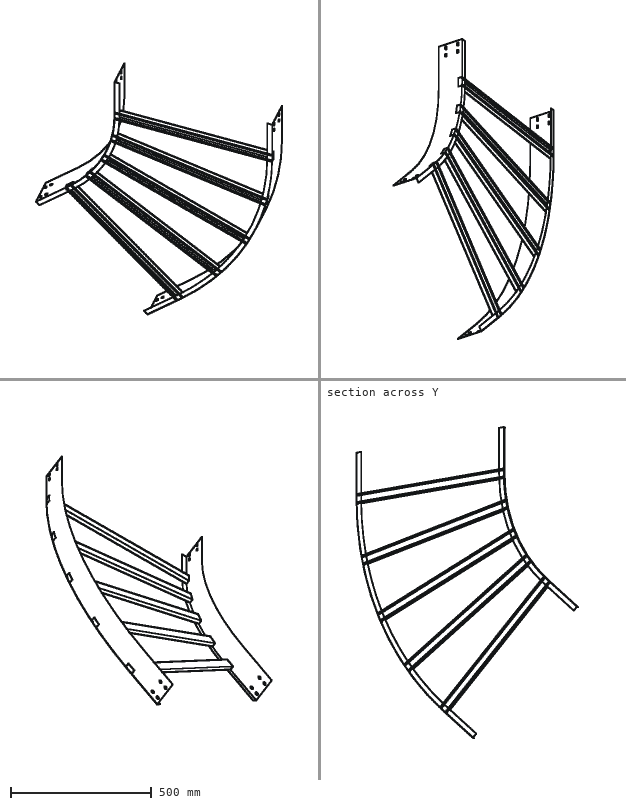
import cadquery as cq
import math

BEND_ANGLE = 45.0
INNER_RADIUS = 600.0
LADDER_WIDTH = 600.0
OUTER_RADIUS = INNER_RADIUS + LADDER_WIDTH
LEG_LENGTH = 173.0

RAIL_HEIGHT = 100.0
RAIL_THICKNESS = 1.5
FLANGE_WIDTH = 19.5

RUNG_COUNT = 5
RUNG_PITCH = BEND_ANGLE / (RUNG_COUNT - 1)
RUNG_WIDTH = 37.0
RUNG_DEPTH = 17.0
RUNG_THICKNESS = 1.5
RUNG_LIP = 7.0
RUNG_INSET = RAIL_THICKNESS / 2

SLOT_LENGTH = 12.0
SLOT_WIDTH = 7.0
SLOT_END_DISTANCES = (15.0, 45.0)
SLOT_HEIGHTS = (19.5, 69.5)


def bend_point(radius, angle, beyond=0.0):
    """Point (x, z) on the bend, moved on along the tangent by `beyond`."""
    turn = math.radians(angle)
    x = radius * math.cos(turn) - beyond * math.sin(turn)
    z = -radius * math.sin(turn) - beyond * math.cos(turn)
    return x, z


def bent_strip(low_radius, high_radius, height):
    """Strip between two radii with a straight leg at each end, rising from y = 0."""
    middle = BEND_ANGLE / 2
    return (
        cq.Workplane("XZ")
        .moveTo(*bend_point(low_radius, 0, -LEG_LENGTH))
        .lineTo(*bend_point(low_radius, 0))
        .threePointArc(bend_point(low_radius, middle), bend_point(low_radius, BEND_ANGLE))
        .lineTo(*bend_point(low_radius, BEND_ANGLE, LEG_LENGTH))
        .lineTo(*bend_point(high_radius, BEND_ANGLE, LEG_LENGTH))
        .lineTo(*bend_point(high_radius, BEND_ANGLE))
        .threePointArc(bend_point(high_radius, middle), bend_point(high_radius, 0))
        .lineTo(*bend_point(high_radius, 0, -LEG_LENGTH))
        .close()
        .extrude(-height)
    )


def rail(web_radius, inward):
    """L-section rail; `inward` is +1 or -1, the radial direction into the ladder."""
    web_radii = sorted((web_radius, web_radius + inward * RAIL_THICKNESS))
    flange_radii = sorted((web_radius, web_radius + inward * FLANGE_WIDTH))
    web = bent_strip(*web_radii, RAIL_HEIGHT)
    flange = bent_strip(*flange_radii, RAIL_THICKNESS)
    return web.union(flange)


def rung_bar(y_low, y_high, width):
    """Bar of full rung length along X, centred on z = 0."""
    length = LADDER_WIDTH - 2 * RUNG_INSET
    return (
        cq.Workplane("YZ", origin=(INNER_RADIUS + RUNG_INSET, (y_low + y_high) / 2, 0))
        .rect(y_high - y_low, width)
        .extrude(length)
    )


def rung(angle):
    """Lipped channel lying on the flanges, with its mouth facing -Y."""
    front = RAIL_THICKNESS
    back = front + RUNG_DEPTH
    cavity_front = front + RUNG_THICKNESS
    cavity_back = back - RUNG_THICKNESS
    body = rung_bar(front, back, RUNG_WIDTH)
    cavity = rung_bar(cavity_front, cavity_back, RUNG_WIDTH - 2 * RUNG_THICKNESS)
    mouth = rung_bar(front, cavity_front, RUNG_WIDTH - 2 * RUNG_LIP)
    return body.cut(cavity).cut(mouth).rotate((0, 0, 0), (0, 1, 0), angle)


def start_leg_slots():
    """Slot cutters through both webs, on the vertical legs."""
    places = [(y, LEG_LENGTH - distance) for y in SLOT_HEIGHTS for distance in SLOT_END_DISTANCES]
    return (
        cq.Workplane("YZ", origin=(INNER_RADIUS, 0, 0))
        .pushPoints(places)
        .slot2D(SLOT_LENGTH, SLOT_WIDTH, 90)
        .extrude(LADDER_WIDTH)
    )


result = rail(INNER_RADIUS, 1).union(rail(OUTER_RADIUS, -1))
for index in range(RUNG_COUNT):
    result = result.union(rung(index * RUNG_PITCH))

start_slots = start_leg_slots()
end_slots = start_slots.mirror("XY").rotate((0, 0, 0), (0, 1, 0), BEND_ANGLE)
result = result.cut(start_slots).cut(end_slots)